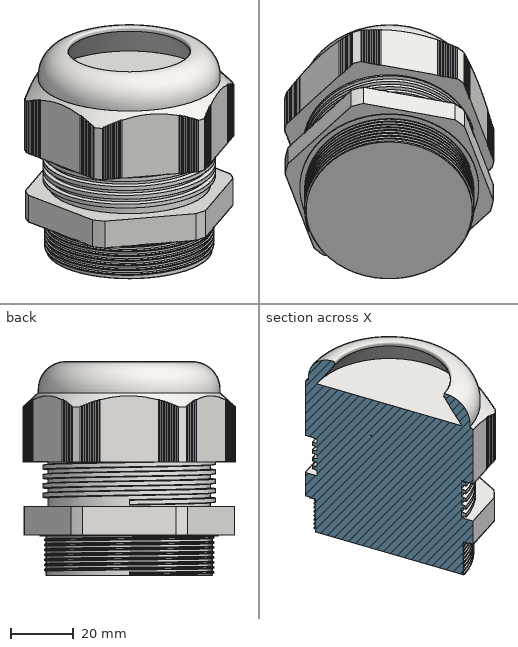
import cadquery as cq
import math

TOTAL_HEIGHT = 68.15
ACROSS_FLATS = 60.0

STEM_RADIUS = 52.95 / 2
SEAL_RING_RADIUS = 28.5
SEAL_RING_HEIGHT = 0.3

FLANGE_BOTTOM = 12.9
FLANGE_TOP = 22.0
FLANGE_CORNER_RADIUS = 33.5

COLLAR_RADIUS = 51.8 / 2
COLLAR_TOP = 57.6

NUT_BOTTOM = 36.2
NUT_CORNER_RADIUS = 67.7 / 2
NUT_CORNER_TOP = 53.7
SHOULDER_Z = 58.2
DOME_BASE_RADIUS = 58.0 / 2
DOME_ARC_RADIUS = 8.85
THROAT_RADIUS = 39.0 / 2
LIP_DEPTH = 1.35

GRIP_START = 9.3
GRIP_GROOVES = 8
GRIP_DEPTH = 0.2

COLLAR_THREAD_PITCH = 3.0
COLLAR_THREAD_CREST_RADIUS = 27.5
COLLAR_THREAD_ROOT_WIDTH = 1.8
COLLAR_THREAD_CREST_WIDTH = 1.3
COLLAR_THREAD_START = 23.3
COLLAR_THREAD_TURNS = 4.7

STEM_THREAD_TURNS = 7.5
STEM_THREAD_START = 0.6
STEM_THREAD_END = 12.55
STEM_THREAD_CREST_RADIUS = 27.0
STEM_THREAD_ROOT_WIDTH = 0.9
STEM_THREAD_CREST_WIDTH = 0.35

THREAD_EMBED = 0.2
THREAD_START_ANGLE = 90.0

FLAT_DISTANCE = ACROSS_FLATS / 2


def cylinder(radius, bottom, top):
    return cq.Workplane("XY").workplane(offset=bottom).circle(radius).extrude(top - bottom)


def rounded_hexagon(corner_radius, bottom, top):
    """Hexagonal prism with flats facing +Y and -Y and its corners turned to corner_radius."""
    corner_to_corner = ACROSS_FLATS / math.cos(math.pi / 6)
    prism = cq.Workplane("XY").workplane(offset=bottom).polygon(6, corner_to_corner).extrude(top - bottom)
    return prism.intersect(cylinder(corner_radius, bottom, top))


def thread(core_radius, crest_radius, root_width, crest_width, pitch, start, turns):
    """Right-handed helical ridge of trapezoidal section, overlapping its core."""
    height = pitch * turns
    flank_spread = (root_width - crest_width) / (crest_radius - core_radius)
    inner_radius = core_radius - THREAD_EMBED
    inner_width = root_width + flank_spread * THREAD_EMBED
    path = cq.Wire.makeHelix(pitch, height, core_radius)
    section = cq.Workplane("XZ").polyline([
        (inner_radius, -inner_width / 2),
        (crest_radius, -crest_width / 2),
        (crest_radius, crest_width / 2),
        (inner_radius, inner_width / 2),
    ]).close()
    ridge = section.sweep(cq.Workplane(path), isFrenet=True)
    return ridge.rotate((0, 0, 0), (0, 0, 1), THREAD_START_ANGLE).translate((0, 0, start))


def nut_envelope():
    """Turned outside of the nut: cylinder, conical shoulder, short band and quarter-round dome."""
    dome_base = TOTAL_HEIGHT - DOME_ARC_RADIUS
    dome_top_radius = DOME_BASE_RADIUS - DOME_ARC_RADIUS
    diagonal = DOME_ARC_RADIUS * math.sqrt(0.5)
    return (
        cq.Workplane("XZ")
        .moveTo(0, NUT_BOTTOM)
        .lineTo(NUT_CORNER_RADIUS, NUT_BOTTOM)
        .lineTo(NUT_CORNER_RADIUS, NUT_CORNER_TOP)
        .lineTo(DOME_BASE_RADIUS, SHOULDER_Z)
        .lineTo(DOME_BASE_RADIUS, dome_base)
        .threePointArc((dome_top_radius + diagonal, dome_base + diagonal), (dome_top_radius, TOTAL_HEIGHT))
        .lineTo(0, TOTAL_HEIGHT)
        .close()
        .revolve(360, (0, 0, 0), (0, 1, 0))
    )


def nut_mouth():
    """Opening in the dome: rounded rim, straight lip, then a cone widening down to the collar top."""
    rim_radius = DOME_BASE_RADIUS - DOME_ARC_RADIUS - THROAT_RADIUS
    diagonal = rim_radius * math.sqrt(0.5)
    rim_center_radius = THROAT_RADIUS + rim_radius
    rim_bottom = TOTAL_HEIGHT - rim_radius
    rim_middle = (rim_center_radius - diagonal, rim_bottom + diagonal)
    return (
        cq.Workplane("XZ")
        .moveTo(0, COLLAR_TOP)
        .lineTo(COLLAR_RADIUS, COLLAR_TOP)
        .lineTo(THROAT_RADIUS, TOTAL_HEIGHT - LIP_DEPTH)
        .lineTo(THROAT_RADIUS, rim_bottom)
        .threePointArc(rim_middle, (rim_center_radius, TOTAL_HEIGHT))
        .lineTo(0, TOTAL_HEIGHT)
        .close()
        .revolve(360, (0, 0, 0), (0, 1, 0))
    )


def grip_grooves():
    """V-grooves for both ends of all six nut flats."""
    grip_end = math.sqrt(NUT_CORNER_RADIUS**2 - FLAT_DISTANCE**2)
    groove_width = (grip_end - GRIP_START) / GRIP_GROOVES
    outside = -FLAT_DISTANCE - GRIP_DEPTH
    sketch = cq.Workplane("XY").workplane(offset=NUT_BOTTOM)
    for side in (-1, 1):
        outline = [(side * GRIP_START, outside), (side * GRIP_START, -FLAT_DISTANCE)]
        for index in range(GRIP_GROOVES):
            near = GRIP_START + index * groove_width
            outline.append((side * (near + groove_width / 2), -FLAT_DISTANCE + GRIP_DEPTH))
            outline.append((side * (near + groove_width), -FLAT_DISTANCE))
        outline.append((side * grip_end, outside))
        sketch = sketch.polyline(outline).close()
    one_flat = sketch.extrude(SHOULDER_Z - NUT_BOTTOM)
    all_flats = cq.Workplane("XY")
    for flat in range(6):
        all_flats = all_flats.add(one_flat.rotate((0, 0, 0), (0, 0, 1), 60 * flat))
    return all_flats.combine(clean=False)


def clamping_nut():
    blank = rounded_hexagon(NUT_CORNER_RADIUS, NUT_BOTTOM, TOTAL_HEIGHT).intersect(nut_envelope())
    return blank.cut(nut_mouth()).cut(grip_grooves())


stem = cylinder(STEM_RADIUS, 0, FLANGE_BOTTOM)
stem_thread = thread(
    STEM_RADIUS, STEM_THREAD_CREST_RADIUS, STEM_THREAD_ROOT_WIDTH, STEM_THREAD_CREST_WIDTH,
    (STEM_THREAD_END - STEM_THREAD_START) / STEM_THREAD_TURNS, STEM_THREAD_START, STEM_THREAD_TURNS,
)
seal_ring = cylinder(SEAL_RING_RADIUS, FLANGE_BOTTOM - SEAL_RING_HEIGHT, FLANGE_BOTTOM)
flange = rounded_hexagon(FLANGE_CORNER_RADIUS, FLANGE_BOTTOM, FLANGE_TOP)
lower_body = stem.union(stem_thread).union(seal_ring).union(flange)

collar = cylinder(COLLAR_RADIUS, FLANGE_TOP, COLLAR_TOP)
collar_thread = thread(
    COLLAR_RADIUS, COLLAR_THREAD_CREST_RADIUS, COLLAR_THREAD_ROOT_WIDTH, COLLAR_THREAD_CREST_WIDTH,
    COLLAR_THREAD_PITCH, COLLAR_THREAD_START, COLLAR_THREAD_TURNS,
)
below_nut = cylinder(NUT_CORNER_RADIUS, FLANGE_TOP, NUT_BOTTOM)
threaded_collar = collar.union(collar_thread).intersect(below_nut)

result = lower_body.union(threaded_collar).union(clamping_nut())